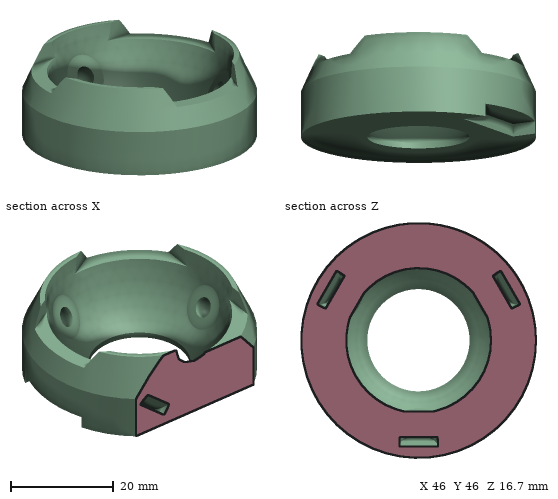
import cadquery as cq
import math

body_radius = 23.0
height = 16.7
skirt_height = 9.0
bowl_radius = 18.5
bowl_wall = 1.0
rim_radius = bowl_radius + bowl_wall
drain_diameter = 20.0

shelf_height = 13.05
segment_offset = 16.75
support_angles = (30, 150, 270)

support_tilt = 30
pad_diameter = 8.8
pad_distance = math.sqrt(bowl_radius**2 - (pad_diameter / 2) ** 2)
socket_radius = 2.02
socket_centre_distance = 19.15
pad_thickness = socket_centre_distance - pad_distance
cavity_diameter = 7.5
cavity_distance = 22.35
cavity_depth = 1.5

notch_width = 18.4
notch_height = 2.5
notch_inner_y = 16.1


def support_plane(angle, distance):
    """Plane on a support axis, facing outward and down from the bowl centre."""
    turn = math.radians(angle)
    tilt = math.radians(support_tilt)
    outward = cq.Vector(
        math.cos(tilt) * math.cos(turn),
        math.cos(tilt) * math.sin(turn),
        -math.sin(tilt),
    )
    sideways = cq.Vector(-math.sin(turn), math.cos(turn), 0)
    origin = cq.Vector(0, 0, height) + outward * distance
    return cq.Plane(origin=origin, xDir=sideways, normal=outward)


def disc(angle, distance, diameter, depth):
    return cq.Workplane(support_plane(angle, distance)).circle(diameter / 2).extrude(depth)


def make_body():
    profile = [
        (0, 0),
        (body_radius, 0),
        (body_radius, skirt_height),
        (rim_radius, height),
        (0, height),
    ]
    body = cq.Workplane("XZ").polyline(profile).close().revolve(360, (0, 0), (0, 1))
    bowl = cq.Workplane("XY").sphere(bowl_radius).translate((0, 0, height))
    drain = cq.Workplane("XY").circle(drain_diameter / 2).extrude(height)
    return body.cut(bowl).cut(drain)


def make_shelf_cutter():
    """Triangular prism whose three sides leave the raised rim segments."""
    corner_turn = 180 / len(support_angles)
    corner_radius = segment_offset / math.cos(math.radians(corner_turn))
    corners = []
    for angle in support_angles:
        turn = math.radians(angle + corner_turn)
        corners.append((corner_radius * math.cos(turn), corner_radius * math.sin(turn)))
    triangle = cq.Workplane("XY").workplane(offset=shelf_height).polyline(corners).close()
    return triangle.extrude(height - shelf_height)


def make_socket(angle):
    entry = disc(angle, pad_distance, 2 * socket_radius, pad_thickness)
    end = cq.Workplane(support_plane(angle, socket_centre_distance)).sphere(socket_radius)
    return entry.union(end)


def make_notch():
    length = body_radius - notch_inner_y
    return (
        cq.Workplane("XY")
        .box(notch_width, length, notch_height, centered=(True, False, False))
        .translate((0, notch_inner_y, 0))
    )


result = make_body().cut(make_shelf_cutter())

for support_angle in support_angles:
    result = result.union(disc(support_angle, pad_distance, pad_diameter, pad_thickness))
    result = result.cut(make_socket(support_angle))
    result = result.cut(disc(support_angle, cavity_distance, cavity_diameter, cavity_depth))

result = result.cut(make_notch())